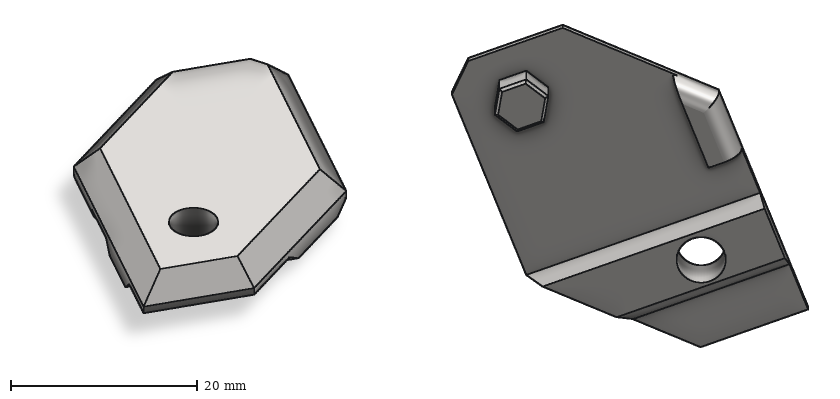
import cadquery as cq
import math

LENGTH = 40.0
WIDTH = 26.9
PLATE_HEIGHT = 3.5
BEVEL = 2.65
FRONT_LEFT_CUT = 13.0
BACK_RIGHT_CUT = 14.5
BACK_LEFT_CUT = 3.05

HOLE_DIAMETER = 5.3
HOLE_X = 30.0
HOLE_Y = 8.5

TOTAL_HEIGHT = 6.3
PEG_ACROSS_FLATS = 5.3
PEG_X = 5.9
PEG_Y = 19.95
PEG_CHAMFER = 0.3

RIB_DEPTH = 1.35
RIB_WIDTH = 8.9

LIP_DEPTH = 2.05
LIP_END_X = 20.0
LIP_END_Y = 3.85
LIP_NOTCH_LENGTH = 0.3
LIP_NOTCH_DEPTH = 0.5


def outline_prism(height):
    """Plate outline extruded upward from Z = 0."""
    corners = [
        (FRONT_LEFT_CUT, 0),
        (LENGTH, 0),
        (LENGTH, WIDTH - BACK_RIGHT_CUT),
        (LENGTH - BACK_RIGHT_CUT, WIDTH),
        (BACK_LEFT_CUT, WIDTH),
        (0, WIDTH - BACK_LEFT_CUT),
        (0, FRONT_LEFT_CUT),
    ]
    return cq.Workplane("XY").polyline(corners).close().extrude(height)


def make_plate():
    return outline_prism(PLATE_HEIGHT).faces(">Z").edges().chamfer(BEVEL)


def make_rib():
    """Trapezoid swept along Y and trimmed to the plate outline."""
    left = LENGTH - BACK_RIGHT_CUT
    right = left + RIB_WIDTH
    profile = [
        (left, 0),
        (right, 0),
        (right - RIB_DEPTH, -RIB_DEPTH),
        (left + RIB_DEPTH, -RIB_DEPTH),
    ]
    bar = cq.Workplane("XZ").polyline(profile).close().extrude(-WIDTH)
    envelope = outline_prism(RIB_DEPTH).translate((0, 0, -RIB_DEPTH))
    return bar.intersect(envelope)


def edge_round(start, direction_angle, length):
    """Quarter-round prism starting at a plan point, with the lip material on its left."""
    angle = math.radians(direction_angle)
    direction = (math.cos(angle), math.sin(angle), 0)
    inward = (-math.sin(angle), math.cos(angle), 0)
    plane = cq.Plane(origin=(*start, 0), xDir=inward, normal=direction)
    bottom = -LIP_DEPTH
    middle_inset = LIP_DEPTH * (1 - math.sqrt(0.5))
    middle_height = bottom * math.sqrt(0.5)
    return (
        cq.Workplane(plane)
        .threePointArc((middle_inset, middle_height), (LIP_DEPTH, bottom))
        .lineTo(LENGTH, bottom)
        .lineTo(LENGTH, 0)
        .close()
        .extrude(length / 2, both=True)
    )


def make_lip():
    """Corner block limited by quarter-rounds along the front and diagonal sides."""
    corner = (FRONT_LEFT_CUT, 0)
    front_round = edge_round(corner, 0, 2 * LENGTH)
    diagonal_round = edge_round(corner, -45, 2 * LENGTH)
    section = [
        (0, 0),
        (LIP_END_Y - LIP_NOTCH_LENGTH, 0),
        (LIP_END_Y, -LIP_NOTCH_DEPTH),
        (LIP_END_Y, -LIP_DEPTH),
        (0, -LIP_DEPTH),
    ]
    block = cq.Workplane("YZ").polyline(section).close().extrude(LIP_END_X)
    return block.intersect(front_round).intersect(diagonal_round)


def make_peg():
    corner_diameter = PEG_ACROSS_FLATS / math.cos(math.pi / 6)
    return (
        cq.Workplane("XY")
        .polygon(6, corner_diameter)
        .extrude(PLATE_HEIGHT - TOTAL_HEIGHT)
        .faces("<Z")
        .edges()
        .chamfer(PEG_CHAMFER)
        .rotate((0, 0, 0), (0, 0, 1), 30)
        .translate((PEG_X, PEG_Y, 0))
    )


def make_hole():
    return (
        cq.Workplane("XY", origin=(HOLE_X, HOLE_Y, -RIB_DEPTH))
        .circle(HOLE_DIAMETER / 2)
        .extrude(RIB_DEPTH + PLATE_HEIGHT)
    )


result = make_plate().union(make_rib()).union(make_lip()).union(make_peg()).cut(make_hole())